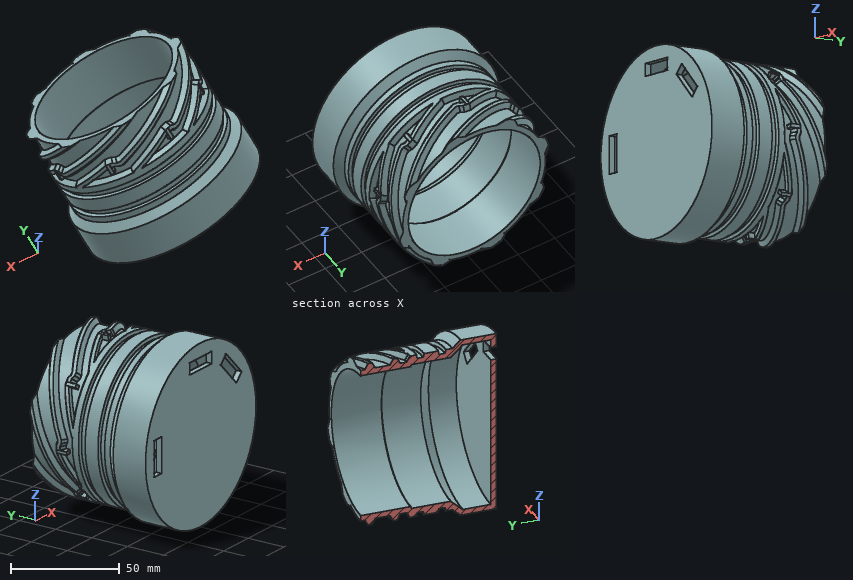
import cadquery as cq
import math


total_length = 67.64
base_diameter = 90.75
base_length = 18.0
base_wall = 3.0
floor_thickness = 3.0

sleeve_diameter = 83.56
sleeve_start = 22.0
sleeve_end = 43.2
groove_diameter = 80.0
groove_floor_width = 2.8
groove_flank_width = 0.45
groove_centers = (27.1, 37.95)

neck_diameter = 78.0
neck_start = 44.75

cavity_diameter = base_diameter - 2 * base_wall
sleeve_bore_diameter = 74.0
neck_bore_diameter = 72.0
sleeve_bore_end = 42.2
neck_bore_start = 42.8

cone_slope = (base_diameter - sleeve_diameter) / 2 / (sleeve_start - base_length)
cavity_cone_start = base_length - base_wall * math.tan(math.atan(cone_slope) / 2)
cavity_cone_end = cavity_cone_start + (cavity_diameter - sleeve_bore_diameter) / 2 / cone_slope

window_length = 18.0
window_width = 6.0
window_radius = 35.25
window_angles = (-90, -45, 180)

rib_count = 8
rib_lead = 100.0
rib_crest_width = 2.1
rib_base_width = 5.3
rib_root_overlap = 0.5
rib_first_angle = -90

lead_in_start = -43.5
lower_run_start = -41.0
lower_run_end = -10.0
step_start = -5.0
step_end = -2.5
upper_run_start = 0.0
upper_run_height = 50.4
step_height = 0.9
lower_run_height = upper_run_height + step_height
lead_in_drop = 1.2

stop_width = 1.8
stop_bottom = 46.7


def build_shell():
    """Revolved cup: outside profile up, inside profile back down to the floor."""
    outline = [(0, 0), (base_diameter / 2, 0), (base_diameter / 2, base_length)]
    outline.append((sleeve_diameter / 2, sleeve_start))
    for center in groove_centers:
        half_floor = groove_floor_width / 2
        half_mouth = half_floor + groove_flank_width
        outline += [
            (sleeve_diameter / 2, center - half_mouth),
            (groove_diameter / 2, center - half_floor),
            (groove_diameter / 2, center + half_floor),
            (sleeve_diameter / 2, center + half_mouth),
        ]
    outline += [
        (sleeve_diameter / 2, sleeve_end),
        (neck_diameter / 2, neck_start),
        (neck_diameter / 2, total_length),
        (neck_bore_diameter / 2, total_length),
        (neck_bore_diameter / 2, neck_bore_start),
        (sleeve_bore_diameter / 2, sleeve_bore_end),
        (sleeve_bore_diameter / 2, cavity_cone_end),
        (cavity_diameter / 2, cavity_cone_start),
        (cavity_diameter / 2, floor_thickness),
        (0, floor_thickness),
    ]
    return cq.Workplane("XZ").polyline(outline).close().revolve(360, (0, 0, 0), (0, 1, 0))


def cut_windows(body):
    for angle in window_angles:
        window = (
            cq.Workplane("XY")
            .center(window_radius, 0)
            .rect(window_width, window_length)
            .extrude(floor_thickness)
            .rotate((0, 0, 0), (0, 0, 1), angle)
        )
        body = body.cut(window)
    return body


def rib_section(height, sloped_underside):
    """Corners (radius, height) of the rib's profile in a plane through the axis."""
    crest = sleeve_diameter / 2
    root = neck_diameter / 2 - rib_root_overlap
    flank_slope = (rib_base_width - rib_crest_width) / (sleeve_diameter - neck_diameter)
    half_crest = rib_crest_width / 2
    half_root = half_crest + flank_slope * (crest - root)
    lower_root = half_root if sloped_underside else half_crest
    return [
        (root, height - lower_root),
        (crest, height - half_crest),
        (crest, height + half_crest),
        (root, height + half_root),
    ]


def section_wire(angle, height, sloped_underside):
    turn = math.radians(angle)
    corners = [
        cq.Vector(radius * math.cos(turn), radius * math.sin(turn), level)
        for radius, level in rib_section(height, sloped_underside)
    ]
    return cq.Wire.makePolygon(corners, close=True)


def helical_run(start_angle, end_angle, start_height, sloped_underside):
    rise = rib_lead * (end_angle - start_angle) / 360
    path = cq.Workplane(cq.Wire.makeHelix(rib_lead, rise, sleeve_diameter / 2))
    profile = cq.Workplane("XZ").polyline(rib_section(0, sloped_underside)).close()
    run = profile.sweep(path, isFrenet=True)
    return run.rotate((0, 0, 0), (0, 0, 1), start_angle).translate((0, 0, start_height))


def step_piece(start_angle, end_angle, start_height, end_height, sloped_underside=True):
    sections = [
        section_wire(start_angle, start_height, sloped_underside),
        section_wire(end_angle, end_height, sloped_underside),
    ]
    return cq.Workplane(cq.Solid.makeLoft(sections, True))


def stop_tab():
    """Square-sided tab that hangs below the step of the rib."""
    root = neck_diameter / 2 - rib_root_overlap
    top = lower_run_height + rib_crest_width / 2
    crest = sleeve_diameter / 2
    mid_angle = lower_run_end + math.degrees(stop_width / 2 / crest)
    tab = cq.Workplane("XY").box(
        crest - root, stop_width, top - stop_bottom, centered=(False, True, False)
    )
    return tab.translate((root, 0, stop_bottom)).rotate((0, 0, 0), (0, 0, 1), mid_angle)


def build_rib():
    lower_rise = rib_lead * (lower_run_end - lower_run_start) / 360
    foot_height = lower_run_height - lower_rise
    lead_in_height = foot_height - lead_in_drop
    end_height = total_length + rib_base_width
    upper_run_end = upper_run_start + 360 * (end_height - upper_run_height) / rib_lead
    pieces = [
        helical_run(lower_run_start, lower_run_end, foot_height, sloped_underside=False),
        step_piece(lower_run_end, step_start, lower_run_height, lower_run_height),
        step_piece(step_start, step_end, lower_run_height, upper_run_height),
        step_piece(step_end, upper_run_start, upper_run_height, upper_run_height),
        helical_run(upper_run_start, upper_run_end, upper_run_height, sloped_underside=True),
        stop_tab(),
    ]
    rib = step_piece(
        lead_in_start, lower_run_start, lead_in_height, foot_height, sloped_underside=False
    )
    for piece in pieces:
        rib = rib.union(piece)
    neck_zone = (
        cq.Workplane("XY")
        .workplane(offset=sleeve_end)
        .circle(base_diameter / 2)
        .extrude(total_length - sleeve_end)
    )
    return rib.intersect(neck_zone)


cup = cut_windows(build_shell())
rib = build_rib()
for index in range(rib_count):
    rib_angle = rib_first_angle + index * 360 / rib_count
    cup = cup.union(rib.rotate((0, 0, 0), (0, 0, 1), rib_angle))

cup = cup.rotate((0, 0, 0), (1, 0, 0), -90)

result = cq.Compound.makeCompound([cup.val()])